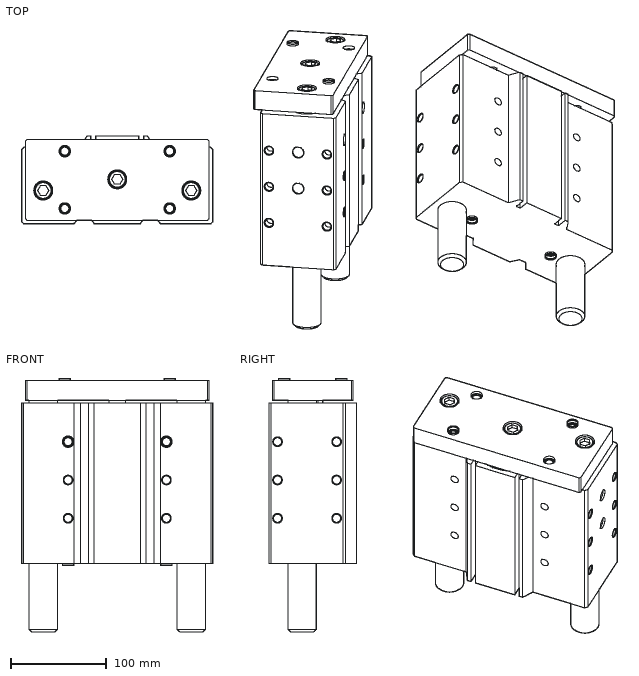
import cadquery as cq
import math


HOUSING_WIDTH = 200.0
HOUSING_DEPTH = 92.0
HOUSING_HEIGHT = 168.2
HALF_WIDTH = HOUSING_WIDTH / 2
FRONT_Y = -HOUSING_DEPTH / 2
BACK_Y = HOUSING_DEPTH / 2
FRONT_CHAMFER = 2.0
BACK_CHAMFER = 2.7

GROOVE_OUTER_LIP_X = 45.0
GROOVE_OUTER_FLOOR_X = 38.2
GROOVE_INNER_FLOOR_X = 30.2
GROOVE_INNER_LIP_X = 24.1
GROOVE_DEPTH = 9.0

SHELF_Y = 34.5
RAMP_FOOT_X = 38.2
RAMP_TOP_X = 32.4
RAIL_TIP_X = 31.3
RAIL_TIP_HEIGHT = 1.0
SLOT_OUTER_X = 27.5
SLOT_INNER_X = 22.5

HOLE_DIAMETER = 8.5
HOLE_RIM_DIAMETER = 10.0
DRILL_POINT_ANGLE = 118
HOLE_ROW_START_Z = 47.5
HOLE_ROW_PITCH = 40.0
HOLE_ROW_Z = [HOLE_ROW_START_Z + i * HOLE_ROW_PITCH for i in range(3)]
FRONT_HOLE_X = 51.5
SIDE_HOLE_Y = (-37.0, 25.0)
SIDE_HOLE_DEPTH = 10.5
PORT_DIAMETER = 12.0
PORT_Y = -6.0
PORT_DEPTH = 6.5
PORT_Z = HOLE_ROW_Z[1:]
PLUG_RECESS = 2.0
END_RECESS_DIAMETER = 82.0
END_RECESS_DEPTH = 1.3

SLEEVE_DIAMETER = 12.0
SLEEVE_BORE = 10.0
SLEEVE_SEAT_DEPTH = 3.2
SLEEVE_STANDOUT = 1.9
BOTTOM_HOLE_DEPTH = 16.0

ROD_DIAMETER = 30.0
ROD_X = 77.5
ROD_Y = -11.1
ROD_STANDOUT = 71.5
ROD_CHAMFER = 3.0
PISTON_DIAMETER = 20.0
PISTON_FLATS = 17.5
PISTON_Y = 0.5
YOKE_GAP = 2.7
YOKE_WIDTH = 192.0
YOKE_DEPTH = 84.5
YOKE_THICKNESS = 21.0
YOKE_CHAMFER = 1.5
YOKE_BOTTOM_Z = HOUSING_HEIGHT + YOKE_GAP
YOKE_TOP_Z = YOKE_BOTTOM_Z + YOKE_THICKNESS
YOKE_HOLE_X = 55.0
YOKE_HOLE_Y = 30.0

SCREW_HEAD_DIAMETER = 18.0
SCREW_HEAD_HEIGHT = 12.0
SCREW_HEAD_CHAMFER = 0.8
SCREW_HEAD_SINK = 0.8
COUNTERBORE_DIAMETER = 20.0
SOCKET_WIDTH = 10.0
SOCKET_DEPTH = 4.0

ROD_POSITIONS = [(-ROD_X, ROD_Y), (ROD_X, ROD_Y)]
PISTON_POSITION = (0, PISTON_Y)
BOTTOM_SLEEVE_POSITIONS = [(-FRONT_HOLE_X, ROD_Y), (FRONT_HOLE_X, ROD_Y)]
TOP_SLEEVE_POSITIONS = [(-YOKE_HOLE_X, -YOKE_HOLE_Y), (YOKE_HOLE_X, YOKE_HOLE_Y)]
YOKE_HOLE_POSITIONS = [(sx * YOKE_HOLE_X, sy * YOKE_HOLE_Y) for sx in (-1, 1) for sy in (-1, 1)]


def cylinder(diameter, start, direction, length):
    """Cylinder that runs from a start point along a direction."""
    return cq.Workplane(
        cq.Solid.makeCylinder(diameter / 2, length, cq.Vector(*start), cq.Vector(*direction))
    )


def cone(diameter_1, diameter_2, start, direction, length):
    """Cone or cone frustum that runs from a start point along a direction."""
    return cq.Workplane(
        cq.Solid.makeCone(
            diameter_1 / 2, diameter_2 / 2, length, cq.Vector(*start), cq.Vector(*direction)
        )
    )


def threaded_hole(mouth, direction, length):
    """Flat-ended hole with a 45 degree countersink at its mouth."""
    rim_depth = (HOLE_RIM_DIAMETER - HOLE_DIAMETER) / 2
    rim = cone(HOLE_RIM_DIAMETER, HOLE_DIAMETER, mouth, direction, rim_depth)
    return cylinder(HOLE_DIAMETER, mouth, direction, length).union(rim)


def seated_hole(mouth, direction, length):
    """Threaded hole that starts at the floor of a counterbore for a centring sleeve."""
    seat_floor = cq.Vector(*mouth) + cq.Vector(*direction) * SLEEVE_SEAT_DEPTH
    hole = threaded_hole(seat_floor.toTuple(), direction, length - SLEEVE_SEAT_DEPTH)
    return cylinder(SLEEVE_DIAMETER, mouth, direction, SLEEVE_SEAT_DEPTH).union(hole)


def housing_profile():
    """Corner points of the housing's cross-section, which is symmetric about X = 0."""
    floor_y = FRONT_Y + GROOVE_DEPTH
    right_half = [
        (GROOVE_INNER_LIP_X, FRONT_Y),
        (GROOVE_INNER_FLOOR_X, floor_y),
        (GROOVE_OUTER_FLOOR_X, floor_y),
        (GROOVE_OUTER_LIP_X, FRONT_Y),
        (HALF_WIDTH - FRONT_CHAMFER, FRONT_Y),
        (HALF_WIDTH, FRONT_Y + FRONT_CHAMFER),
        (HALF_WIDTH, SHELF_Y - BACK_CHAMFER),
        (HALF_WIDTH - BACK_CHAMFER, SHELF_Y),
        (RAMP_FOOT_X, SHELF_Y),
        (RAMP_TOP_X, BACK_Y - RAIL_TIP_HEIGHT),
        (RAIL_TIP_X, BACK_Y),
        (SLOT_OUTER_X, BACK_Y),
        (SLOT_OUTER_X, SHELF_Y),
        (SLOT_INNER_X, SHELF_Y),
        (SLOT_INNER_X, BACK_Y),
    ]
    left_half = [(-x, y) for x, y in reversed(right_half)]
    return right_half + left_half


def cut_front_holes(body):
    """Through holes along Y; the top pair has seats for centring sleeves."""
    for x in (-FRONT_HOLE_X, FRONT_HOLE_X):
        for z in HOLE_ROW_Z[:-1]:
            body = body.cut(threaded_hole((x, FRONT_Y, z), (0, 1, 0), HOUSING_DEPTH))
        body = body.cut(seated_hole((x, FRONT_Y, HOLE_ROW_Z[-1]), (0, 1, 0), HOUSING_DEPTH))
    return body


def cut_side_holes(body):
    """Blind holes with drill points in both side faces."""
    point_length = HOLE_DIAMETER / 2 / math.tan(math.radians(DRILL_POINT_ANGLE / 2))
    for side in (-1, 1):
        inward = (-side, 0, 0)
        bottom_x = side * (HALF_WIDTH - SIDE_HOLE_DEPTH)
        for y in SIDE_HOLE_Y:
            for z in HOLE_ROW_Z:
                body = body.cut(threaded_hole((side * HALF_WIDTH, y, z), inward, SIDE_HOLE_DEPTH))
                body = body.cut(cone(HOLE_DIAMETER, 0, (bottom_x, y, z), inward, point_length))
    return body


def cut_ports(body):
    """Flat-bottomed ports in the left side face."""
    for z in PORT_Z:
        body = body.cut(cylinder(PORT_DIAMETER, (-HALF_WIDTH, PORT_Y, z), (1, 0, 0), PORT_DEPTH))
    return body


def cut_bottom_holes(body):
    """Blind holes in the lower face, with seats for centring sleeves."""
    for x, y in BOTTOM_SLEEVE_POSITIONS:
        body = body.cut(seated_hole((x, y, 0), (0, 0, 1), BOTTOM_HOLE_DEPTH))
    return body


def make_housing():
    """Extruded profile with rod bores, a round end recess, ports and threaded holes."""
    body = cq.Workplane("XY").polyline(housing_profile()).close().extrude(HOUSING_HEIGHT)
    for x, y in ROD_POSITIONS:
        body = body.cut(cylinder(ROD_DIAMETER, (x, y, 0), (0, 0, 1), HOUSING_HEIGHT))
    recess_start = (0, PISTON_Y, HOUSING_HEIGHT)
    body = body.cut(cylinder(END_RECESS_DIAMETER, recess_start, (0, 0, -1), END_RECESS_DEPTH))
    body = cut_front_holes(body)
    body = cut_side_holes(body)
    body = cut_ports(body)
    return cut_bottom_holes(body)


def yoke_plate():
    """Plate with upright corner chamfers and four holes, each with a sleeve seat."""
    plate = (
        cq.Workplane("XY", origin=(0, 0, YOKE_BOTTOM_Z))
        .rect(YOKE_WIDTH, YOKE_DEPTH)
        .extrude(YOKE_THICKNESS)
        .edges("|Z")
        .chamfer(YOKE_CHAMFER)
    )
    for x, y in YOKE_HOLE_POSITIONS:
        plate = plate.cut(seated_hole((x, y, YOKE_TOP_Z), (0, 0, -1), YOKE_THICKNESS))
    return plate


def guide_rod(x, y):
    """Round rod from the yoke through the housing, chamfered at its lower end."""
    rod_length = ROD_STANDOUT + YOKE_BOTTOM_Z
    rod = cylinder(ROD_DIAMETER, (x, y, -ROD_STANDOUT), (0, 0, 1), rod_length)
    return rod.faces("<Z").chamfer(ROD_CHAMFER)


def piston_rod():
    """Piston rod end with two wrench flats, down to the floor of the housing's end recess."""
    length = YOKE_GAP + END_RECESS_DEPTH
    base_z = HOUSING_HEIGHT - END_RECESS_DEPTH
    rod = cylinder(PISTON_DIAMETER, (0, PISTON_Y, base_z), (0, 0, 1), length)
    flats = (
        cq.Workplane("XY", origin=(0, PISTON_Y, base_z))
        .rect(PISTON_FLATS, PISTON_DIAMETER)
        .extrude(length)
    )
    return rod.intersect(flats)


def screw_head(x, y):
    """Sunk socket head, seated on the floor of its counterbore."""
    head_top_z = YOKE_TOP_Z - SCREW_HEAD_SINK
    head_bottom = (x, y, head_top_z - SCREW_HEAD_HEIGHT)
    head = cylinder(SCREW_HEAD_DIAMETER, head_bottom, (0, 0, 1), SCREW_HEAD_HEIGHT)
    head = head.faces(">Z").chamfer(SCREW_HEAD_CHAMFER)
    socket_corner_diameter = SOCKET_WIDTH / math.cos(math.pi / 6)
    socket = (
        cq.Workplane("XY", origin=(x, y, head_top_z))
        .polygon(6, socket_corner_diameter)
        .extrude(-SOCKET_DEPTH)
    )
    return head.cut(socket)


def make_carriage():
    """Yoke, rods and their screw heads as one solid."""
    counterbore_depth = SCREW_HEAD_SINK + SCREW_HEAD_HEIGHT
    body = yoke_plate()
    for x, y in ROD_POSITIONS:
        body = body.union(guide_rod(x, y))
    body = body.union(piston_rod())
    for x, y in ROD_POSITIONS + [PISTON_POSITION]:
        counterbore_mouth = (x, y, YOKE_TOP_Z)
        body = body.cut(cylinder(COUNTERBORE_DIAMETER, counterbore_mouth, (0, 0, -1), counterbore_depth))
        body = body.union(screw_head(x, y))
    return body


def make_sleeve(x, y, seat_z):
    """Ring that starts at seat_z and stands out of its seat."""
    length = SLEEVE_SEAT_DEPTH + SLEEVE_STANDOUT
    ring = cylinder(SLEEVE_DIAMETER, (x, y, seat_z), (0, 0, 1), length)
    return ring.cut(cylinder(SLEEVE_BORE, (x, y, seat_z), (0, 0, 1), length))


def make_port_plug(z):
    """Plug that fills a port up to just below the side face."""
    plug_start = (-HALF_WIDTH + PLUG_RECESS, PORT_Y, z)
    return cylinder(PORT_DIAMETER, plug_start, (1, 0, 0), PORT_DEPTH - PLUG_RECESS)


housing = make_housing()
carriage = make_carriage()
top_sleeves = [make_sleeve(x, y, YOKE_TOP_Z - SLEEVE_SEAT_DEPTH) for x, y in TOP_SLEEVE_POSITIONS]
bottom_sleeves = [make_sleeve(x, y, -SLEEVE_STANDOUT) for x, y in BOTTOM_SLEEVE_POSITIONS]
port_plugs = [make_port_plug(z) for z in PORT_Z]

bodies = [housing, carriage] + top_sleeves + bottom_sleeves + port_plugs
result = cq.Compound.makeCompound([body.solids().val() for body in bodies])